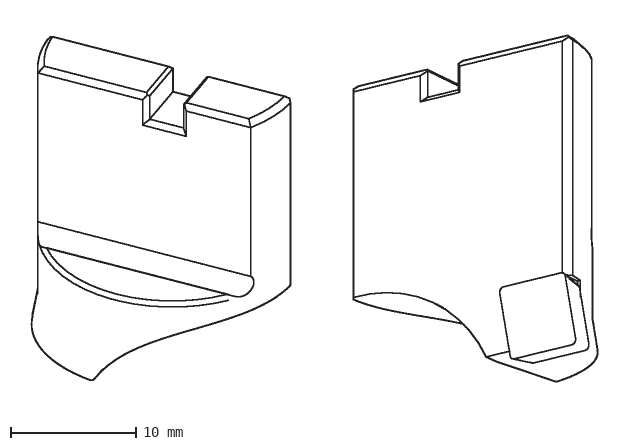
import cadquery as cq
import math

RADIUS = 10.75
HEIGHT = 26.85
SHANK_THICKNESS = 5.25
FRONT_FLAT_HALF_WIDTH = 0.38
BACK_CORNER_X = 0.5
BACK_CORNER_Y = 0.67

MARGIN = 2.68
EDGE_TOLERANCE = 0.27

TOP_CHAMFER_BACK = 0.7
TOP_CHAMFER_FRONT_Y = 0.4
TOP_CHAMFER = 0.5

SHELF_Z = 10.87
SHELF_CHAMFER = 0.35
GROOVE_RADIUS = 0.95
GROOVE_Y = -5.93
GROOVE_Z = 11.46

SLOT_LEFT = 0.27
SLOT_WIDTH = 2.98
SLOT_FLOOR_Z = 24.35
SLOT_TOP_CHAMFER = 0.27
SLOT_FACE_CHAMFER = 0.43

FLANK_TOP_Z = 4.62
FLANK_LEAN = 10.0
BOTTOM_Z = 0.9
BOTTOM_SLOPE = 7.2
LOWER_FILLET = 0.32
GULLET_RIGHT = (10.75, 8.67)
GULLET_MIDDLE = (0.55, 5.2)
GULLET_LEFT = (-2.75, 0.9)

INSERT_LEFT = -11.85
INSERT_WIDTH = 6.42
INSERT_HEIGHT = 6.35
INSERT_LEAN = 10.4
INSERT_BACK_Y = 0.38
INSERT_THICKNESS = 2.34
INSERT_TAPER = 7.2
INSERT_CORNER_RADIUS = 0.4
INSERT_FRONT_Y = INSERT_BACK_Y - INSERT_THICKNESS


def plan_outline(z):
    """Half-round outline with a narrow front flat and cut back corners."""
    corner_x = math.sqrt(RADIUS**2 - BACK_CORNER_Y**2)
    flat_y = -math.sqrt(RADIUS**2 - FRONT_FLAT_HALF_WIDTH**2)
    diagonal = RADIUS * math.sqrt(0.5)
    return (
        cq.Workplane("XY", origin=(0, 0, z))
        .moveTo(-corner_x + BACK_CORNER_X, 0)
        .lineTo(-corner_x, -BACK_CORNER_Y)
        .threePointArc((-diagonal, -diagonal), (-FRONT_FLAT_HALF_WIDTH, flat_y))
        .lineTo(FRONT_FLAT_HALF_WIDTH, flat_y)
        .threePointArc((diagonal, -diagonal), (corner_x, -BACK_CORNER_Y))
        .lineTo(corner_x - BACK_CORNER_X, 0)
        .close()
    )


def upright_body():
    """Half-round column over the full height."""
    return plan_outline(0).extrude(HEIGHT)


def leaning_flank():
    """The column outline continued down along a direction leaning to -X."""
    shift = FLANK_TOP_Z * math.tan(math.radians(FLANK_LEAN))
    outline = plan_outline(FLANK_TOP_Z).val()
    direction = cq.Vector(-shift, 0, -FLANK_TOP_Z)
    return cq.Workplane(cq.Solid.extrudeLinear(outline, [], direction))


def side_profile():
    """L-shaped side profile with chamfered top and sloping underside."""
    front = -RADIUS
    underside_rise = (RADIUS + INSERT_FRONT_Y) * math.tan(math.radians(BOTTOM_SLOPE))
    points = [
        (0, BOTTOM_Z),
        (INSERT_FRONT_Y, BOTTOM_Z),
        (front, BOTTOM_Z + underside_rise),
        (front, SHELF_Z),
        (-SHANK_THICKNESS, SHELF_Z),
        (-SHANK_THICKNESS, HEIGHT - TOP_CHAMFER),
        (-SHANK_THICKNESS + TOP_CHAMFER_FRONT_Y, HEIGHT),
        (-TOP_CHAMFER_BACK, HEIGHT),
        (0, HEIGHT - TOP_CHAMFER_BACK),
    ]
    half_length = RADIUS + MARGIN
    return cq.Workplane("YZ").polyline(points).close().extrude(half_length, both=True)


def gullet():
    """Space below the arched cut on the right."""
    right = RADIUS + MARGIN
    return (
        cq.Workplane("XZ", origin=(0, MARGIN, 0))
        .moveTo(*GULLET_RIGHT)
        .threePointArc(GULLET_MIDDLE, GULLET_LEFT)
        .lineTo(GULLET_LEFT[0], -MARGIN)
        .lineTo(right, -MARGIN)
        .lineTo(right, GULLET_RIGHT[1])
        .close()
        .extrude(RADIUS + 2 * MARGIN)
    )


def groove():
    """Round relief groove along the inner corner of the shelf."""
    return (
        cq.Workplane("YZ")
        .center(GROOVE_Y, GROOVE_Z)
        .circle(GROOVE_RADIUS)
        .extrude(RADIUS + MARGIN, both=True)
    )


def rim_chamfer(top_z, size, back_y):
    """Bevel along the round edge of a horizontal face, in front of back_y."""
    width = 2 * (RADIUS + MARGIN)
    front_region = cq.Workplane("XY").box(width, width, top_z, centered=(True, False, False))
    front_region = front_region.translate((0, back_y - width, 0))
    ring = (
        cq.Workplane("XZ")
        .polyline([(RADIUS - size, top_z), (RADIUS, top_z - size), (RADIUS, top_z)])
        .close()
        .revolve(360, (0, 0, 0), (0, 1, 0))
    )
    return ring.intersect(front_region)


def slot_section(y, growth):
    """Slot cross-section at depth y, widened on its sides and floor."""
    top = HEIGHT + MARGIN
    floor = SLOT_FLOOR_Z - growth
    width = SLOT_WIDTH + 2 * growth
    return (
        cq.Workplane("XZ", origin=(SLOT_LEFT + SLOT_WIDTH / 2, y, (floor + top) / 2))
        .rect(width, top - floor)
    )


def slot():
    """Through slot with bevelled top edges and bevelled mouths on both faces."""
    cutter = slot_section(0, 0).extrude(SHANK_THICKNESS)
    bevel = (
        cq.Workplane("XZ")
        .moveTo(SLOT_LEFT - SLOT_TOP_CHAMFER, HEIGHT)
        .lineTo(SLOT_LEFT + SLOT_WIDTH + SLOT_TOP_CHAMFER, HEIGHT)
        .lineTo(SLOT_LEFT + SLOT_WIDTH, HEIGHT - SLOT_TOP_CHAMFER)
        .lineTo(SLOT_LEFT, HEIGHT - SLOT_TOP_CHAMFER)
        .close()
        .extrude(SHANK_THICKNESS)
    )
    cutter = cutter.union(bevel)
    for face_y, inward in ((0, -1), (-SHANK_THICKNESS, 1)):
        mouth = slot_section(face_y, SLOT_FACE_CHAMFER).val()
        throat = slot_section(face_y + inward * SLOT_FACE_CHAMFER, 0).val()
        cutter = cutter.union(cq.Workplane(cq.Solid.makeLoft([mouth, throat], True)))
    return cutter


def insert_section(y, inset):
    """Rhombic insert section at depth y, moved in by inset on all four sides."""
    lean = math.radians(INSERT_LEAN)
    left = INSERT_LEFT + inset / math.cos(lean)
    right = INSERT_LEFT + INSERT_WIDTH - inset / math.cos(lean)
    bottom = inset
    top = INSERT_HEIGHT - inset
    return (
        cq.Workplane("XZ", origin=(0, y, 0))
        .moveTo(left + bottom * math.tan(lean), bottom)
        .lineTo(right + bottom * math.tan(lean), bottom)
        .lineTo(right + top * math.tan(lean), top)
        .lineTo(left + top * math.tan(lean), top)
        .close()
        .val()
    )


def make_insert():
    """Tapered rhombic insert with rounded corners, largest at its back face."""
    inset = INSERT_THICKNESS * math.tan(math.radians(INSERT_TAPER))
    back = insert_section(INSERT_BACK_Y, 0)
    front = insert_section(INSERT_FRONT_Y, inset)
    blank = cq.Workplane(cq.Solid.makeLoft([back, front], True))
    mid_y = (INSERT_BACK_Y + INSERT_FRONT_Y) / 2
    corner_edges = [
        edge for edge in blank.edges().vals() if abs(edge.Center().y - mid_y) < EDGE_TOLERANCE
    ]
    return blank.newObject(corner_edges).fillet(INSERT_CORNER_RADIUS)


def insert_side_clearance():
    """Space left of the insert, so that its outer side is exposed."""
    lean = math.tan(math.radians(INSERT_LEAN))
    exposed_left = INSERT_LEFT + INSERT_CORNER_RADIUS
    outer = INSERT_LEFT - MARGIN
    return (
        cq.Workplane("XZ", origin=(0, INSERT_BACK_Y, 0))
        .moveTo(outer, 0)
        .lineTo(exposed_left, 0)
        .lineTo(exposed_left + INSERT_HEIGHT * lean, INSERT_HEIGHT)
        .lineTo(outer, INSERT_HEIGHT)
        .close()
        .extrude(INSERT_THICKNESS)
    )


def make_column():
    """Upper part of the holder with its gullet rim rounded."""
    column = upright_body().intersect(side_profile()).cut(gullet())
    rim = []
    for edge in column.edges().vals():
        box = edge.BoundingBox()
        at_gullet_height = FLANK_TOP_Z < box.zmax < GULLET_RIGHT[1] + EDGE_TOLERANCE
        reaches_front = box.ymin < -RADIUS + EDGE_TOLERANCE
        if at_gullet_height and reaches_front and box.zlen > EDGE_TOLERANCE:
            rim.append(edge)
    width = 2 * (RADIUS + MARGIN)
    below_column = cq.Workplane("XY").box(width, width, 2 * FLANK_TOP_Z)
    return column.newObject(rim).fillet(LOWER_FILLET).cut(below_column)


def make_flank():
    """Leaning lower part of the holder with its gullet rim and underside rim rounded."""
    flank = leaning_flank().intersect(side_profile()).cut(gullet())
    rim = []
    for edge in flank.edges().vals():
        box = edge.BoundingBox()
        reaches_front = box.ymin < -RADIUS + EDGE_TOLERANCE
        if reaches_front and box.zlen > EDGE_TOLERANCE and box.xlen > EDGE_TOLERANCE:
            rim.append(edge)
    return flank.newObject(rim).fillet(LOWER_FILLET)


def make_holder(insert):
    """Half-round holder with a pocket matching the insert."""
    holder = make_column().union(make_flank())
    holder = holder.cut(groove())
    holder = holder.cut(rim_chamfer(HEIGHT, TOP_CHAMFER, 0))
    holder = holder.cut(rim_chamfer(SHELF_Z, SHELF_CHAMFER, GROOVE_Y))
    holder = holder.cut(slot())
    return holder.cut(insert_side_clearance()).cut(insert)


insert = make_insert()
holder = make_holder(insert)

result = cq.Compound.makeCompound([holder.val(), insert.val()])